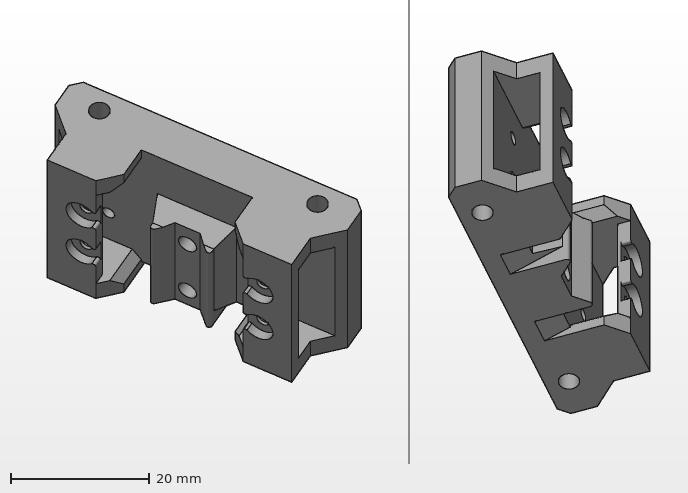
import cadquery as cq
import math

width = 48.25
depth = 15.2
height = 27.0
rear_chamfer = 1.55
side_depth = 5.65
leg_outer_x = 20.15
leg_inner_x = 9.15
leg_chamfer = 3.0
plate_depth = 7.0

window_margin = 3.4
window_edge_chamfer = 1.5
front_wall = 2.03
wall_inner_x = leg_inner_x + leg_chamfer

screw_x = 14.55
screw_spacing = 8.3
screw_diameter = 2.0
recess_diameter = 4.95
recess_depth = 1.5
recess_slot_height = 3.45
slot_corner_radius = 0.3

end_hole_x = 18.0
end_hole_depth = 3.5
end_hole_diameter = 3.1

flank_angle = 20.0
base_half_width = 6.5
base_bottom_z = 1.45
base_top_z = 18.55
taper_depth = 4.05
rail_tip_depth = 12.05
rail_tip_radius = 0.5
groove_depth = 9.8
rail_hole_diameter = 3.0
rail_hole_heights = (3.25, 13.85)

flank_slope = math.tan(math.radians(flank_angle))
taper_end_depth = plate_depth + taper_depth
rail_half_width = base_half_width - taper_depth * flank_slope
rail_top_z = base_top_z - taper_depth * flank_slope


def cylinder_y(x, z, diameter, start_depth, end_depth):
    """Cylinder along Y between two depths in front of the rear face."""
    plane = cq.Workplane("XZ", origin=(x, -start_depth, z))
    return plane.circle(diameter / 2).extrude(end_depth - start_depth)


def make_block():
    """Channel-shaped plan with two chamfered legs, extruded to full height."""
    half = width / 2
    shoulder_depth = side_depth + half - leg_outer_x
    right_side = [
        (half - rear_chamfer, 0),
        (half, -rear_chamfer),
        (half, -side_depth),
        (leg_outer_x, -shoulder_depth),
        (leg_outer_x, -depth),
        (wall_inner_x, -depth),
        (leg_inner_x, leg_chamfer - depth),
        (leg_inner_x, -plate_depth),
    ]
    left_side = [(-x, y) for x, y in reversed(right_side)]
    return cq.Workplane("XY").polyline(right_side + left_side).close().extrude(height)


def make_windows():
    """Openings behind the front walls, widened to the leg front between the walls."""
    low = window_margin
    high = height - window_margin
    bevel_x = leg_inner_x + window_edge_chamfer
    bevel_low = low - window_edge_chamfer
    bevel_high = high + window_edge_chamfer

    def opening(half_width, end_depth):
        right = [
            (leg_inner_x, bevel_low),
            (bevel_x, low),
            (half_width, low),
            (half_width, high),
            (bevel_x, high),
            (leg_inner_x, bevel_high),
        ]
        left = [(-x, z) for x, z in reversed(right)]
        plane = cq.Workplane("XZ", origin=(0, -plate_depth, 0))
        return plane.polyline(right + left).close().extrude(end_depth - plate_depth)

    return opening(width / 2, depth - front_wall).union(opening(wall_inner_x, depth))


def make_rail():
    """Tapered base with a straight rail that has rounded tips and a central groove."""
    base_height = base_top_z - base_bottom_z
    base_plane = cq.Workplane("XZ", origin=(0, -plate_depth, base_bottom_z + base_height / 2))
    base = base_plane.rect(2 * base_half_width, base_height).extrude(taper_depth, taper=flank_angle)

    radius = rail_tip_radius
    arc_x = rail_half_width - radius
    arc_depth = rail_tip_depth - radius
    arc_mid_angle = math.radians(67.5)
    arc_mid = (arc_x + radius * math.cos(arc_mid_angle), arc_depth + radius * math.sin(arc_mid_angle))
    lip_x = arc_x - radius * math.sqrt(0.5)
    lip_depth = arc_depth + radius * math.sqrt(0.5)
    floor_x = lip_x - (lip_depth - groove_depth)

    rail = (
        cq.Workplane("XY")
        .moveTo(-rail_half_width, -plate_depth)
        .lineTo(rail_half_width, -plate_depth)
        .lineTo(rail_half_width, -arc_depth)
        .threePointArc((arc_mid[0], -arc_mid[1]), (lip_x, -lip_depth))
        .lineTo(floor_x, -groove_depth)
        .lineTo(-floor_x, -groove_depth)
        .lineTo(-lip_x, -lip_depth)
        .threePointArc((-arc_mid[0], -arc_mid[1]), (-rail_half_width, -arc_depth))
        .close()
        .extrude(rail_top_z)
    )
    groove_outline = [
        (-floor_x, -groove_depth),
        (floor_x, -groove_depth),
        (lip_x, -lip_depth),
        (-lip_x, -lip_depth),
    ]
    groove = cq.Workplane("XY").polyline(groove_outline).close().extrude(height)
    return base.cut(groove).union(rail)


def make_undercut():
    """Sloped relief under the plate on both sides of the rail, flush with the base taper."""
    start_depth = plate_depth - base_bottom_z / flank_slope
    end_z = base_bottom_z + taper_depth * flank_slope
    outline = [(-start_depth, 0), (-taper_end_depth, 0), (-taper_end_depth, end_z)]
    wedge_plane = cq.Workplane("YZ", origin=(rail_half_width, 0, 0))
    wedge = wedge_plane.polyline(outline).close().extrude(leg_inner_x - rail_half_width)
    return wedge.union(wedge.mirror("YZ"))


def make_screw_cut(side, z):
    """Through hole with a round recess open towards the centre; side is -1 or 1."""
    hole = cylinder_y(side * screw_x, z, screw_diameter, 0, depth)
    recess = cylinder_y(side * screw_x, z, recess_diameter, depth - recess_depth, depth)

    half_slot = recess_slot_height / 2
    radius = slot_corner_radius
    plane = cq.Workplane("XZ", origin=(0, recess_depth - depth, z))
    slot = (
        plane.moveTo(side * screw_x, -half_slot)
        .lineTo(side * (wall_inner_x + radius), -half_slot)
        .radiusArc((side * wall_inner_x, -half_slot - radius), -side * radius)
        .lineTo(side * wall_inner_x, half_slot + radius)
        .radiusArc((side * (wall_inner_x + radius), half_slot), -side * radius)
        .lineTo(side * screw_x, half_slot)
        .close()
        .extrude(recess_depth)
    )
    return hole.union(recess).union(slot)


result = make_block().cut(make_windows()).union(make_rail()).cut(make_undercut())

for side in (-1, 1):
    for z in (height / 2 - screw_spacing / 2, height / 2 + screw_spacing / 2):
        result = result.cut(make_screw_cut(side, z))
    end_hole = cq.Workplane("XY").circle(end_hole_diameter / 2).extrude(height)
    result = result.cut(end_hole.translate((side * end_hole_x, -end_hole_depth, 0)))

for z in rail_hole_heights:
    result = result.cut(cylinder_y(0, z, rail_hole_diameter, 0, rail_tip_depth))